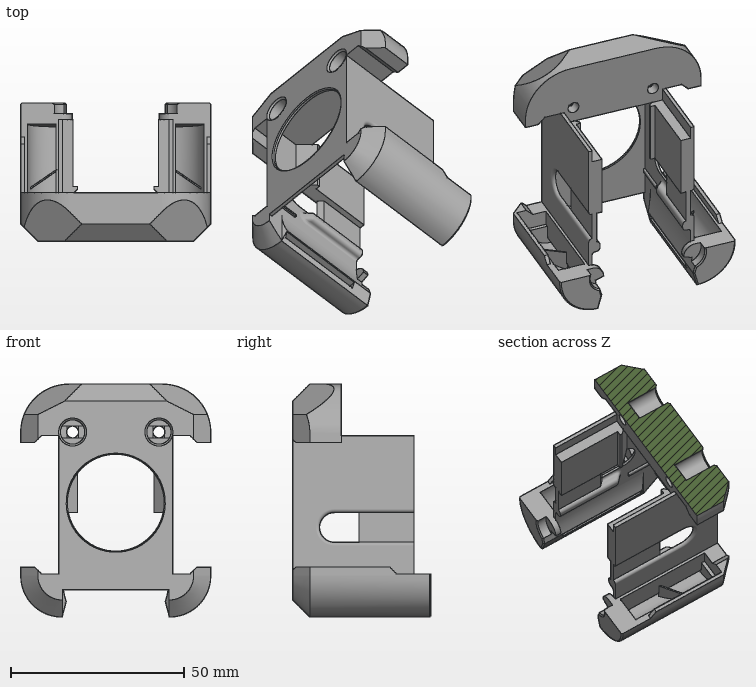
import cadquery as cq
import math

HALF_WIDTH = 27.5
HEIGHT = 67.4
DEPTH = 40.0
EDGE_CHAMFER = 5.0
TOLERANCE = 0.1

COWL_DEPTH = 14.1
COWL_RADIUS = 14.0
COWL_LIP_Z = 50.5
COWL_LEDGE_Z = 52.5
COWL_CORE_Z = 48.75
FACET_Z = 58.6
LIP_CHAMFER_START = 21.45
LIP_CHAMFER = COWL_LEDGE_Z - COWL_LIP_Z

WALL_OUTER = 16.5
WALL_INNER = 15.45
WALL_DEPTH = 35.1
PLATE_THICKNESS = 1.0
PLATE_BOTTOM_Z = 7.9
FAN_HOLE_RADIUS = 28.0 / 2
FAN_HOLE_Z = 33.1
FAN_HOLE_CHAMFER = 0.35

SCREW_X = 12.5
SCREW_Z = 53.5
SCREW_RADIUS = 3.4 / 2
HEAD_RADIUS = 7.0 / 2
HEAD_DEPTH = 10.1
HEAD_CHAMFER = 0.55
BRIDGE_STEP = 0.3
BRIDGE_HEIGHT = 3.5

SLOT_RADIUS = 4.25
SLOT_Y = 12.1
SLOT_Z = 25.95
SLOT_ROUND = 1.0
SLOT_TOP_Z = SLOT_Z + SLOT_RADIUS

RAIL_INNER = 12.35
FIN_TIP_X = 11.0
FIN_TIP_Y = 15.1
FIN_BACK_Y = 15.85
LINER_INNER = 13.95
LINER_Y = 19.15
RIB_INNER = 12.95
RIB_TIP_Y = 12.8
RIB_BOTTOM_Z = 16.8
RIB_TOP_Z = 20.1
RIB_ROUND = 1.2
RIB_ROOT_ROUND = 0.95

RIDGE_END_Y = 10.3
RIDGE_TOP_Z = 16.3
RIDGE_SIZE = 0.55
RIDGE_ROUND = 0.5

FOOT_RADIUS = 12.0
FOOT_TOP_Z = 12.55
FOOT_LIP_Z = 14.5
FOOT_ARC_X = HALF_WIDTH - FOOT_RADIUS
FOOT_LIP_THICKNESS = 1.15
FOOT_LIP_END_Y = 30.05
FOOT_FRONT_DEPTH = 5.0
FOOT_REAR_CHAMFER = 0.4
POCKET_INNER = 17.3
POCKET_OUTER = 25.55
POCKET_END_Y = 33.9
POCKET_END_SLOPE = 0.9
FLOOR_RADIUS = POCKET_OUTER - FOOT_ARC_X
FLOOR_Z = FOOT_RADIUS - FLOOR_RADIUS
NOZZLE_CURVE_Z = 11.45
NOZZLE_BACK = (14.9, 6.75)
NOZZLE_TIP = (14.3, 4.5)
OUTLET_TOP_Z = 4.1
MOUTH_Z = 7.95
NOZZLE_START_Y = 6.1
REAR_NOTCH_X = 17.7
REAR_NOTCH_Y = 36.9
REAR_NOTCH_MIDDLE = (17.0, 8.3)
LUG_TIP = (12.55, 8.9)
LUG_MIDDLE = (13.7, 11.6)
VANE_THICKNESS = 0.4
VANE_TOP_Z = 7.95
VANE_OUTER = (POCKET_OUTER, 14.7)
VANE_INNER = (POCKET_INNER, 20.35)

DIAGONAL = math.sqrt(0.5)


def box(x0, x1, y0, y1, z0, z1):
    return cq.Workplane("XY").box(x1 - x0, y1 - y0, z1 - z0, centered=False).translate((x0, y0, z0))


def along_y(profile, y0, y1):
    """Extrude a closed XZ profile drawn on the "XZ" plane from y0 to y1."""
    return profile.extrude(-(y1 - y0)).translate((0, y0, 0))


def prism_y(points, y0, y1):
    return along_y(cq.Workplane("XZ").polyline(points).close(), y0, y1)


def prism_z(points, z0, z1):
    return cq.Workplane("XY").polyline(points).close().extrude(z1 - z0).translate((0, 0, z0))


def arc_middle(centre_x, centre_z, radius, below=True):
    """Point halfway round an outer quarter arc, on the +X side."""
    offset = radius * DIAGONAL
    return (centre_x + offset, centre_z - offset if below else centre_z + offset)


def both_sides(body):
    return body.union(body.mirror("YZ"))


def cowl():
    arc_x = HALF_WIDTH - COWL_RADIUS
    arc_z = HEIGHT - COWL_RADIUS
    half = (
        cq.Workplane("XZ")
        .moveTo(0, COWL_CORE_Z)
        .lineTo(WALL_OUTER, COWL_CORE_Z)
        .lineTo(WALL_OUTER, COWL_LEDGE_Z)
        .lineTo(LIP_CHAMFER_START, COWL_LEDGE_Z)
        .lineTo(LIP_CHAMFER_START + LIP_CHAMFER, COWL_LIP_Z)
        .lineTo(HALF_WIDTH, COWL_LIP_Z)
        .lineTo(HALF_WIDTH, arc_z)
        .threePointArc(arc_middle(arc_x, arc_z, COWL_RADIUS, below=False), (arc_x, HEIGHT))
        .lineTo(0, HEIGHT)
        .close()
    )
    body = both_sides(along_y(half, 0, COWL_DEPTH))
    body = body.cut(cowl_top_chamfer())
    return body.cut(both_sides(cowl_side_chamfer())).cut(both_sides(cowl_corner_cut()))


def cowl_top_chamfer():
    wedge = [(0, HEIGHT - EDGE_CHAMFER), (EDGE_CHAMFER, HEIGHT), (0, HEIGHT)]
    return cq.Workplane("YZ").polyline(wedge).close().extrude(HALF_WIDTH, both=True)


def cowl_side_chamfer():
    wedge = [(HALF_WIDTH - EDGE_CHAMFER, 0), (HALF_WIDTH, EDGE_CHAMFER), (HALF_WIDTH, 0)]
    return prism_z(wedge, COWL_LIP_Z, HEIGHT)


def cowl_corner_cut():
    """Everything beyond the facet that slopes equally across X and depth and twice that in Z."""
    facet_point = (HALF_WIDTH - EDGE_CHAMFER, 0, FACET_Z)
    facet = cq.Plane(origin=facet_point, xDir=(1, 1, 0), normal=(1, -1, 2))
    return cq.Workplane(facet).rect(2 * HEIGHT, 2 * HEIGHT).extrude(HEIGHT / 2)


def front_plate():
    return box(-WALL_OUTER, WALL_OUTER, 0, PLATE_THICKNESS, PLATE_BOTTOM_Z, COWL_LEDGE_Z)


def fan_hole():
    rim = FAN_HOLE_RADIUS + FAN_HOLE_CHAMFER
    bore = along_y(cq.Workplane("XZ").center(0, FAN_HOLE_Z).circle(FAN_HOLE_RADIUS), 0, PLATE_THICKNESS)
    bevel = cq.Solid.makeCone(
        rim, FAN_HOLE_RADIUS, FAN_HOLE_CHAMFER, cq.Vector(0, 0, FAN_HOLE_Z), cq.Vector(0, 1, 0)
    )
    return bore.union(cq.Workplane(bevel))


def side_wall():
    wall = box(WALL_INNER, WALL_OUTER, 0, WALL_DEPTH, FOOT_TOP_Z, COWL_LEDGE_Z)
    slot = (
        cq.Workplane("YZ")
        .moveTo(WALL_DEPTH, SLOT_TOP_Z)
        .lineTo(SLOT_Y, SLOT_TOP_Z)
        .threePointArc((SLOT_Y - SLOT_RADIUS, SLOT_Z), (SLOT_Y, SLOT_Z - SLOT_RADIUS))
        .lineTo(WALL_DEPTH, SLOT_Z - SLOT_RADIUS)
        .close()
        .extrude(WALL_OUTER)
    )
    rim = cq.selectors.BoxSelector(
        (WALL_OUTER - TOLERANCE, TOLERANCE, SLOT_Z - SLOT_RADIUS - TOLERANCE),
        (WALL_OUTER + TOLERANCE, WALL_DEPTH - TOLERANCE, SLOT_TOP_Z + TOLERANCE),
    )
    return wall.cut(slot).edges(rim).fillet(SLOT_ROUND)


def screw_hole(x):
    def bore(radius, y0, y1):
        return along_y(cq.Workplane("XZ").center(x, SCREW_Z).circle(radius), y0, y1)

    bevel = cq.Solid.makeCone(
        HEAD_RADIUS + HEAD_CHAMFER, HEAD_RADIUS, HEAD_CHAMFER, cq.Vector(x, 0, SCREW_Z), cq.Vector(0, 1, 0)
    )
    slot_end = HEAD_DEPTH + BRIDGE_STEP
    half_bridge = BRIDGE_HEIGHT / 2
    slot = box(
        x - HEAD_RADIUS, x + HEAD_RADIUS, HEAD_DEPTH, slot_end, SCREW_Z - half_bridge, SCREW_Z + half_bridge
    ).intersect(bore(HEAD_RADIUS, 0, COWL_DEPTH))
    square = box(
        x - SCREW_RADIUS,
        x + SCREW_RADIUS,
        slot_end,
        slot_end + BRIDGE_STEP,
        SCREW_Z - half_bridge,
        SCREW_Z + half_bridge,
    )
    hole = bore(HEAD_RADIUS, 0, HEAD_DEPTH).union(cq.Workplane(bevel))
    return hole.union(slot).union(square).union(bore(SCREW_RADIUS, 0, COWL_DEPTH))


def upper_rail():
    """Rail behind a 45-degree fin that reaches in from the wall."""
    plan = [
        (WALL_INNER, FIN_TIP_Y - (WALL_INNER - FIN_TIP_X)),
        (FIN_TIP_X, FIN_TIP_Y),
        (FIN_TIP_X, FIN_BACK_Y),
        (RAIL_INNER, FIN_BACK_Y),
        (RAIL_INNER, WALL_DEPTH),
        (WALL_INNER, WALL_DEPTH),
    ]
    return prism_z(plan, SLOT_TOP_Z, COWL_CORE_Z)


def slot_liner():
    plan = [
        (WALL_INNER, LINER_Y),
        (LINER_INNER, LINER_Y + WALL_INNER - LINER_INNER),
        (LINER_INNER, WALL_DEPTH),
        (WALL_INNER, WALL_DEPTH),
    ]
    return prism_z(plan, RIB_BOTTOM_Z + RIB_ROUND, SLOT_TOP_Z)


def lower_rib():
    plan = [
        (WALL_INNER, RIB_TIP_Y),
        (RIB_INNER, RIB_TIP_Y + WALL_INNER - RIB_INNER),
        (RIB_INNER, WALL_DEPTH),
        (WALL_INNER, WALL_DEPTH),
    ]
    rib = prism_z(plan, RIB_BOTTOM_Z, RIB_TOP_Z)
    free_edges = cq.selectors.BoxSelector(
        (0, RIB_TIP_Y, RIB_BOTTOM_Z - TOLERANCE),
        (WALL_INNER - TOLERANCE, WALL_DEPTH - TOLERANCE, RIB_TOP_Z + TOLERANCE),
    )
    return rib.edges(free_edges).fillet(RIB_ROUND)


def ribbed_wall():
    """Side wall and lower rib, blended where the rib meets the wall."""
    body = side_wall().union(lower_rib())
    root = cq.selectors.BoxSelector(
        (WALL_INNER - TOLERANCE, RIB_TIP_Y - TOLERANCE, RIB_BOTTOM_Z - TOLERANCE),
        (WALL_INNER + TOLERANCE, WALL_DEPTH - TOLERANCE, RIB_TOP_Z + TOLERANCE),
    )
    return body.edges(root).fillet(RIB_ROOT_ROUND)


def wall_ridge():
    """Short narrow ridge low on the wall, just behind the front plate."""
    inner = WALL_INNER - RIDGE_SIZE
    bottom = RIDGE_TOP_Z - 2 * RIDGE_SIZE
    ridge = box(inner, WALL_INNER, PLATE_THICKNESS, RIDGE_END_Y, bottom, RIDGE_TOP_Z)
    return ridge.edges("|Y and <X and >Z").fillet(RIDGE_ROUND)


def foot_outline(inner_points):
    """Rounded outer shell of a foot, closed along the given points on its inner side."""
    shell = (
        cq.Workplane("XZ")
        .moveTo(FOOT_ARC_X, 0)
        .threePointArc(arc_middle(FOOT_ARC_X, FOOT_RADIUS, FOOT_RADIUS), (HALF_WIDTH, FOOT_RADIUS))
        .lineTo(HALF_WIDTH, FOOT_TOP_Z)
    )
    for point in inner_points:
        shell = shell.lineTo(*point)
    return shell


def foot_front():
    inner = [(WALL_INNER, FOOT_TOP_Z), (WALL_INNER, 0)]
    block = along_y(foot_outline(inner).close(), 0, FOOT_FRONT_DEPTH)
    shoulder = [
        (LIP_CHAMFER_START, FOOT_TOP_Z),
        (LIP_CHAMFER_START + LIP_CHAMFER, FOOT_LIP_Z),
        (HALF_WIDTH, FOOT_LIP_Z),
        (HALF_WIDTH, FOOT_TOP_Z),
    ]
    return block.union(prism_y(shoulder, 0, FOOT_FRONT_DEPTH))


def foot_lip():
    slope = FOOT_LIP_Z - FOOT_TOP_Z
    side = [
        (FOOT_FRONT_DEPTH, FOOT_TOP_Z),
        (FOOT_LIP_END_Y, FOOT_TOP_Z),
        (FOOT_LIP_END_Y - slope, FOOT_LIP_Z),
        (FOOT_FRONT_DEPTH, FOOT_LIP_Z),
    ]
    lip = cq.Workplane("YZ").polyline(side).close().extrude(FOOT_LIP_THICKNESS)
    return lip.translate((HALF_WIDTH - FOOT_LIP_THICKNESS, 0, 0))


def duct_shell():
    """Foot behind its front block, with the inward-curved nozzle wall and a slanted start."""
    inner = [(WALL_INNER, FOOT_TOP_Z), (WALL_INNER, NOZZLE_CURVE_Z)]
    profile = foot_outline(inner).threePointArc(NOZZLE_BACK, NOZZLE_TIP).close()
    shell = along_y(profile, FOOT_FRONT_DEPTH, DEPTH)
    reach = WALL_INNER - NOZZLE_TIP[0]
    slant = [
        (WALL_INNER, FOOT_FRONT_DEPTH),
        (NOZZLE_TIP[0], FOOT_FRONT_DEPTH),
        (NOZZLE_TIP[0], FOOT_FRONT_DEPTH + reach),
    ]
    return shell.cut(prism_z(slant, 0, FOOT_TOP_Z))


def duct_cavity():
    """Pocket open at the top that turns inward along the floor to the outlet."""
    profile = (
        cq.Workplane("XZ")
        .moveTo(POCKET_OUTER, FOOT_TOP_Z)
        .lineTo(POCKET_OUTER, FOOT_RADIUS)
        .threePointArc(arc_middle(FOOT_ARC_X, FOOT_RADIUS, FLOOR_RADIUS), (FOOT_ARC_X, FLOOR_Z))
        .lineTo(NOZZLE_TIP[0], FLOOR_Z)
        .lineTo(NOZZLE_TIP[0], OUTLET_TOP_Z)
        .lineTo(POCKET_INNER, OUTLET_TOP_Z)
        .lineTo(POCKET_INNER, FOOT_TOP_Z)
        .close()
    )
    cavity = along_y(profile, NOZZLE_START_Y, POCKET_END_Y)
    mouth = box(POCKET_INNER, POCKET_OUTER, FOOT_FRONT_DEPTH, NOZZLE_START_Y, MOUTH_Z, FOOT_TOP_Z)
    ramp = [
        (POCKET_END_Y, FOOT_TOP_Z),
        (POCKET_END_Y - POCKET_END_SLOPE, FLOOR_Z),
        (POCKET_END_Y, FLOOR_Z),
    ]
    return cavity.union(mouth).cut(cq.Workplane("YZ").polyline(ramp).close().extrude(HALF_WIDTH))


def rear_notch():
    """Hollow at the back end that leaves a concave slope down to the nozzle."""
    profile = (
        cq.Workplane("XZ")
        .moveTo(REAR_NOTCH_X, FOOT_TOP_Z)
        .threePointArc(REAR_NOTCH_MIDDLE, NOZZLE_BACK)
        .lineTo(NOZZLE_TIP[0], NOZZLE_BACK[1])
        .lineTo(NOZZLE_TIP[0], FOOT_TOP_Z)
        .close()
    )
    return along_y(profile, REAR_NOTCH_Y, DEPTH)


def rear_lug():
    """Rounded lug that reaches inward behind the wall."""
    profile = (
        cq.Workplane("XZ")
        .moveTo(WALL_INNER, FOOT_TOP_Z)
        .threePointArc(LUG_MIDDLE, LUG_TIP)
        .lineTo(WALL_INNER, PLATE_BOTTOM_Z)
        .close()
    )
    return along_y(profile, WALL_DEPTH, REAR_NOTCH_Y)


def bevel_rear_rim(body):
    """Small chamfer round the back face of a foot, except along its flat top."""
    rim = cq.selectors.BoxSelector(
        (NOZZLE_TIP[0], DEPTH - TOLERANCE, -TOLERANCE),
        (HALF_WIDTH + TOLERANCE, DEPTH + TOLERANCE, FOOT_TOP_Z - TOLERANCE),
    )
    return body.edges(rim).chamfer(FOOT_REAR_CHAMFER)


def guide_vane():
    """Thin upright vane standing diagonally on the duct floor."""
    (x0, y0), (x1, y1) = VANE_OUTER, VANE_INNER
    length = math.hypot(x1 - x0, y1 - y0)
    angle = math.degrees(math.atan2(y1 - y0, x1 - x0))
    vane = (
        cq.Workplane("XY")
        .box(length + 2 * VANE_THICKNESS, VANE_THICKNESS, VANE_TOP_Z, centered=(True, True, False))
        .rotate((0, 0, 0), (0, 0, 1), angle)
        .translate(((x0 + x1) / 2, (y0 + y1) / 2, 0))
    )
    inside_foot = foot_outline([(FOOT_ARC_X, FOOT_TOP_Z)]).close()
    return vane.intersect(along_y(inside_foot, 0, DEPTH))


def foot_envelope():
    """Space left by the 45-degree chamfer round the front of the feet."""

    def rounded_section(y, inset):
        radius = FOOT_RADIUS - inset
        side = HALF_WIDTH - inset
        return (
            cq.Workplane("XZ", origin=(0, y, 0))
            .moveTo(0, inset)
            .lineTo(FOOT_ARC_X, inset)
            .threePointArc(arc_middle(FOOT_ARC_X, FOOT_RADIUS, radius), (side, FOOT_RADIUS))
            .lineTo(side, FOOT_LIP_Z)
            .lineTo(0, FOOT_LIP_Z)
            .close()
        )

    front = rounded_section(0, EDGE_CHAMFER).wire().val()
    back = rounded_section(EDGE_CHAMFER, 0).wire().val()
    nose = cq.Workplane(cq.Solid.makeLoft([front, back], True))
    return nose.union(along_y(rounded_section(0, 0), EDGE_CHAMFER, DEPTH))


def foot():
    shell = bevel_rear_rim(duct_shell().cut(rear_notch()))
    body = shell.cut(duct_cavity()).union(rear_lug())
    body = body.union(guide_vane()).union(foot_front()).union(foot_lip())
    return body.intersect(foot_envelope())


def build_housing():
    half = ribbed_wall()
    for feature in (upper_rail(), slot_liner(), wall_ridge(), foot()):
        half = half.union(feature)
    body = front_plate().union(cowl()).union(both_sides(half))
    body = body.cut(fan_hole())
    for x in (-SCREW_X, SCREW_X):
        body = body.cut(screw_hole(x))
    return body


housing = build_housing().solids()

result = cq.Compound.makeCompound([housing.val()])